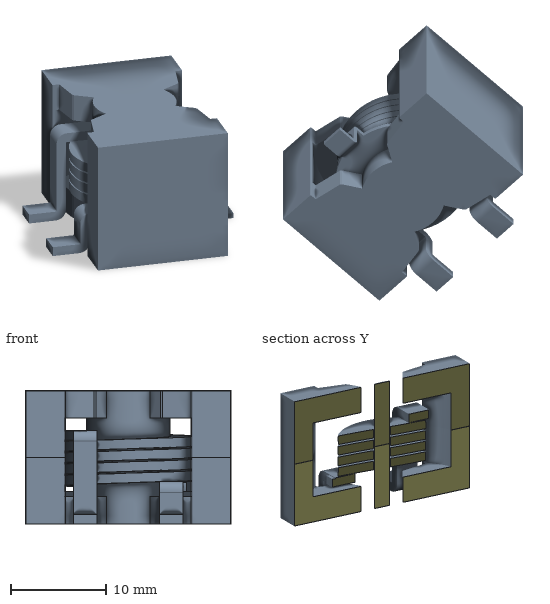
import cadquery as cq
import math

OVERALL_WIDTH = 21.0

CORE_LENGTH = 21.5
CORE_WIDTH = 14.15
CORE_HEIGHT = 14.0
HALF_HEIGHT = CORE_HEIGHT / 2
PLATE_THICKNESS = 2.88
POST_RADIUS = 8.8 / 2
WINDOW_RADIUS = 9.45
WINDOW_HALF_WIDTH = 6.6
LEG_CORNER_RADIUS = 0.09
PLATE_EDGE_AT_LEG = 6.35
PLATE_TIP = (3.57, 5.78)
NOTCH_MOUTH = (3.38, 5.65)

CLIP_THICKNESS = 0.55
CLIP_WALL = 0.45
CLIP_RING_RADIUS = 7.1
CLIP_TAB_WIDTH = 2.45
CLIP_WALL_FACE = 8.4
CLIP_FOOT_END = 10.43
CLIP_BEND_RADIUS = 0.58
CLIP_TOP = PLATE_THICKNESS + CLIP_THICKNESS

WIRE_THICKNESS = 1.0
WIRE_WIDTH = 2.5
TURNS = 4.5
COIL_INNER_RADIUS = 4.4
COIL_RADIUS = COIL_INNER_RADIUS + WIRE_WIDTH
COIL_MIDDLE_RADIUS = COIL_INNER_RADIUS + WIRE_WIDTH / 2
COIL_BOTTOM = CLIP_TOP
COIL_TOP = 9.8
PITCH = (COIL_TOP - COIL_BOTTOM - WIRE_THICKNESS) / TURNS

LEAD_OFFSET = 4.52
LEAD_WALL_FACE = 7.57
LEAD_FOOT_END = OVERALL_WIDTH - CLIP_FOOT_END
LEAD_INNER_BEND = 0.1
LEAD_BEND_RADIUS = LEAD_INNER_BEND + WIRE_THICKNESS
LEAD_OUTER_SIDE = LEAD_OFFSET + WIRE_WIDTH / 2
LEAD_JOIN_ANGLE = math.degrees(math.acos(LEAD_OUTER_SIDE / COIL_RADIUS))
STUB_WIDTH = 0.35
STUB_END = 5.38
STUB_DROP = 0.09


def core_recess():
    """Cutter for the -Y side of a core half: plate edge stepped back, V-notch toward the centre."""
    left_side = [
        (-WINDOW_HALF_WIDTH, -CORE_WIDTH / 2),
        (-WINDOW_HALF_WIDTH, -PLATE_EDGE_AT_LEG),
        (-PLATE_TIP[0], -PLATE_TIP[1]),
        (-NOTCH_MOUTH[0], -NOTCH_MOUTH[1]),
    ]
    right_side = [(-x, y) for x, y in reversed(left_side)]
    return cq.Workplane("XY").polyline(left_side + [(0, 0)] + right_side).close().extrude(HALF_HEIGHT)


def core_half():
    """Lower core half: plate, round centre post and two legs with a round winding window."""
    block = cq.Workplane("XY").box(CORE_LENGTH, CORE_WIDTH, HALF_HEIGHT, centered=(True, True, False))
    window = cq.Workplane("XY", origin=(0, 0, PLATE_THICKNESS)).circle(WINDOW_RADIUS).extrude(HALF_HEIGHT)
    front_recess = core_recess()
    back_recess = front_recess.mirror("XZ")
    post = cq.Workplane("XY").circle(POST_RADIUS).extrude(HALF_HEIGHT)
    core = block.cut(window).cut(front_recess).cut(back_recess).union(post)
    for x in (-WINDOW_HALF_WIDTH, WINDOW_HALF_WIDTH):
        for y in (-CORE_WIDTH / 2, CORE_WIDTH / 2):
            leg_corner = cq.NearestToPointSelector((x, y, HALF_HEIGHT / 2))
            core = core.edges(leg_corner).fillet(LEG_CORNER_RADIUS)
    return core


def bent_strip(width, top, thickness, wall, wall_face, foot_end, bend_radius):
    """Z-bent strip from the Y = 0 plane: out along +Y, down a wall and out again along a foot."""
    wall_back = wall_face - wall
    outline = [
        (0, top),
        (wall_face, top),
        (wall_face, thickness),
        (foot_end, thickness),
        (foot_end, 0),
        (wall_back, 0),
        (wall_back, top - thickness),
        (0, top - thickness),
    ]
    strip = cq.Workplane("YZ").polyline(outline).close().extrude(width / 2, both=True)
    for corner in ((0, wall_face, top), (0, wall_back, 0)):
        strip = strip.edges(cq.NearestToPointSelector(corner)).fillet(bend_radius)
    return strip


def clip():
    """Half ring around the back of the post, with a bent tab that ends in a foot."""
    ring = (
        cq.Workplane("XY", origin=(0, 0, PLATE_THICKNESS))
        .moveTo(CLIP_RING_RADIUS, 0)
        .threePointArc((0, CLIP_RING_RADIUS), (-CLIP_RING_RADIUS, 0))
        .close()
        .extrude(CLIP_THICKNESS)
    )
    tab = bent_strip(
        CLIP_TAB_WIDTH, CLIP_TOP, CLIP_THICKNESS, CLIP_WALL, CLIP_WALL_FACE, CLIP_FOOT_END, CLIP_BEND_RADIUS
    )
    bore = cq.Workplane("XY").circle(POST_RADIUS).extrude(CORE_HEIGHT)
    return ring.union(tab).cut(bore)


def lead(side, top):
    """Coil lead on the given side of X = 0, with small radii inside its two bends."""
    strip = bent_strip(
        WIRE_WIDTH, top, WIRE_THICKNESS, WIRE_THICKNESS, LEAD_WALL_FACE, LEAD_FOOT_END, LEAD_BEND_RADIUS
    )
    upper_corner = (0, LEAD_WALL_FACE - WIRE_THICKNESS, top - WIRE_THICKNESS)
    lower_corner = (0, LEAD_WALL_FACE, WIRE_THICKNESS)
    for corner in (upper_corner, lower_corner):
        strip = strip.edges(cq.NearestToPointSelector(corner)).fillet(LEAD_INNER_BEND)
    return strip.mirror("XZ").translate((side * LEAD_OFFSET, 0, 0))


def wire_section(bottom):
    """Cross-section of the wire where it crosses the +X half of the XZ plane."""
    return (
        cq.Workplane("XZ")
        .center(COIL_MIDDLE_RADIUS, bottom + WIRE_THICKNESS / 2)
        .rect(WIRE_WIDTH, WIRE_THICKNESS)
    )


def flat_turn_end(bottom, angle):
    """Level arc of wire that starts at +X and turns by the given signed angle about Z."""
    axis_start = (-COIL_MIDDLE_RADIUS, 0)
    axis_end = (axis_start[0], math.copysign(1, angle))
    return wire_section(bottom).revolve(abs(angle), axis_start, axis_end)


def coil():
    """Helical winding from the clip up, with a level end and a lead at each end.

    A short stub of wire lies beside the lower lead, a little below its top face.
    """
    helix = cq.Wire.makeHelix(
        PITCH, PITCH * TURNS, COIL_MIDDLE_RADIUS, center=cq.Vector(0, 0, COIL_BOTTOM + WIRE_THICKNESS / 2)
    )
    winding = wire_section(COIL_BOTTOM).sweep(cq.Workplane(helix), isFrenet=True)

    lower_end = flat_turn_end(COIL_BOTTOM, -LEAD_JOIN_ANGLE)
    upper_end = flat_turn_end(COIL_TOP - WIRE_THICKNESS, LEAD_JOIN_ANGLE).rotate((0, 0, 0), (0, 0, 1), 180)

    stub = (
        cq.Workplane("XY", origin=(LEAD_OUTER_SIDE, 0, COIL_BOTTOM))
        .rect(STUB_WIDTH, -STUB_END, centered=False)
        .extrude(WIRE_THICKNESS - STUB_DROP)
    )
    bore = cq.Workplane("XY").circle(COIL_INNER_RADIUS).extrude(CORE_HEIGHT)
    lower_lead = lead(1, COIL_BOTTOM + WIRE_THICKNESS).union(stub).cut(bore)
    upper_lead = lead(-1, COIL_TOP).cut(bore)
    return winding.union(lower_end).union(upper_end).union(lower_lead).union(upper_lead)


lower_core = core_half()
upper_core = lower_core.rotate((0, 0, HALF_HEIGHT), (1, 0, HALF_HEIGHT), 180)
winding_coil = coil()
foot_clip = clip()

bodies = [lower_core, upper_core, winding_coil, foot_clip]
result = cq.Compound.makeCompound([body.solids().val() for body in bodies])